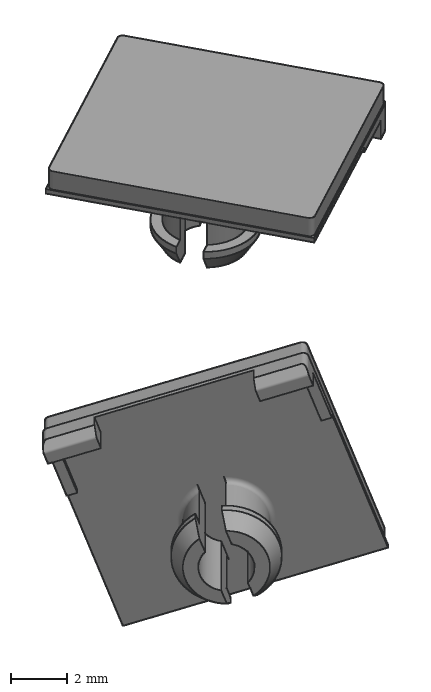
import cadquery as cq

length_x = 10.0
width_y = 8.7
flange_thickness = 0.2
pad_height = 0.8
pad_inset = 0.05
corner_radius = 0.2

foot_width = 2.0
foot_thickness = 0.7
foot_drop = 1.0
foot_taper_depth = 0.2
foot_taper_height = 0.5
foot_tip_radius = 0.1

rail_width = 0.4
rail_height = 0.2
rail_end_from_back = 2.7

post_y = -1.25
post_radius = 1.55
post_root_fillet = 0.2
post_length = 3.2
head_radius = 1.97
head_height = 1.0
head_band_height = 0.3
slot_width = 1.0
bore_radius = 1.0

back_y = width_y / 2
side_x = length_x / 2


def make_flange():
    return cq.Workplane("XY").box(length_x, width_y, flange_thickness, centered=(True, True, False))


def make_pad():
    pad = (
        cq.Workplane("XY")
        .workplane(offset=flange_thickness)
        .rect(length_x - 2 * pad_inset, width_y - 2 * pad_inset)
        .extrude(pad_height)
    )
    return pad.edges("|Z").fillet(corner_radius)


def make_foot(side):
    """Foot at the +Y edge with a tapered outer face; side is -1 or +1 along X."""
    inner_y = back_y - foot_thickness
    taper_end_y = back_y - foot_taper_depth
    foot = (
        cq.Workplane("YZ")
        .workplane(offset=side * side_x)
        .moveTo(inner_y, 0)
        .lineTo(back_y, 0)
        .lineTo(back_y, foot_taper_height - foot_drop)
        .lineTo(taper_end_y, -foot_drop)
        .lineTo(inner_y, -foot_drop)
        .close()
        .extrude(-side * foot_width)
    )
    tip = cq.selectors.NearestToPointSelector((side * (side_x - foot_width / 2), taper_end_y, -foot_drop))
    return foot.edges(tip).fillet(foot_tip_radius)


def make_rail(side):
    """Rail flush with the plate edge, running forward from the +Y edge beside the foot."""
    center_x = side * (side_x - rail_width / 2)
    center_y = back_y - (foot_thickness + rail_end_from_back) / 2
    return (
        cq.Workplane("XY")
        .center(center_x, center_y)
        .rect(rail_width, rail_end_from_back - foot_thickness)
        .extrude(-rail_height)
    )


def make_corner_trim():
    """Full-height envelope that rounds the two +Y corners of the flange and feet."""
    envelope = (
        cq.Workplane("XY")
        .workplane(offset=-foot_drop)
        .rect(length_x, width_y)
        .extrude(foot_drop + flange_thickness)
    )
    return envelope.edges("|Z and >Y").fillet(corner_radius)


def make_post():
    """Revolved post with a flared root and a tapered head, bored hollow and split by a slot along Y."""
    head_top = head_height - post_length
    band_bottom = head_top - head_band_height
    root_radius = post_radius + post_root_fillet
    fillet_offset = post_root_fillet * (1 - 0.5**0.5)
    post = (
        cq.Workplane("XZ")
        .moveTo(0, 0)
        .lineTo(root_radius, 0)
        .threePointArc((post_radius + fillet_offset, -fillet_offset), (post_radius, -post_root_fillet))
        .lineTo(post_radius, head_top)
        .lineTo(head_radius, head_top)
        .lineTo(head_radius, band_bottom)
        .lineTo(post_radius, -post_length)
        .lineTo(0, -post_length)
        .close()
        .revolve(360, (0, 0, 0), (0, 1, 0))
    )
    slot = cq.Workplane("XY").rect(slot_width, 2 * head_radius).extrude(-post_length)
    bore = cq.Workplane("XY").circle(bore_radius).extrude(-post_length)
    return post.cut(slot).cut(bore).translate((0, post_y, 0))


base = make_flange()
for side in (-1, 1):
    base = base.union(make_foot(side)).union(make_rail(side))
base = base.intersect(make_corner_trim())

result = base.union(make_pad()).union(make_post())